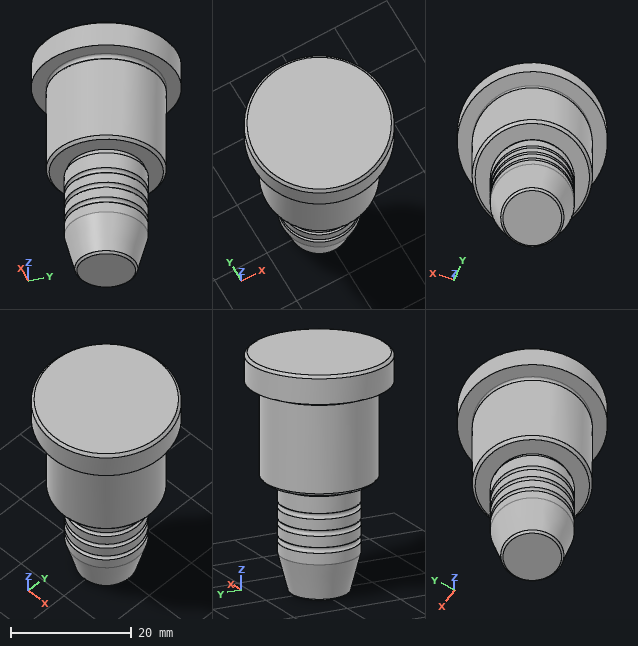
import cadquery as cq

total_height = 42.0
head_thickness = 5.0
body_length = 17.0
neck_length = 1.0
taper_length = 7.0
lowest_land_length = 2.0

head_radius = 25.0 / 2
body_radius = 20.0 / 2
shank_radius = 14.0 / 2
tip_radius = 10.5 / 2
neck_step = 0.4

head_chamfer = 0.5
body_chamfer = 0.5
tip_chamfer = 0.38

groove_width = 1.0
groove_count = 3
groove_pitch = 3.0
groove_radius = groove_width / 2

head_bottom = total_height - head_thickness
body_bottom = head_bottom - body_length
collar_top = body_bottom - neck_length
neck_radius = shank_radius - neck_step
first_groove_bottom = taper_length + lowest_land_length


def rounded_groove(profile, radius, bottom):
    """Draw upward along a cylinder wall and across one half-round groove."""
    top = bottom + groove_width
    floor_point = (radius - groove_radius, bottom + groove_radius)
    return profile.lineTo(radius, bottom).threePointArc(floor_point, (radius, top))


profile = (
    cq.Workplane("XZ")
    .lineTo(tip_radius - tip_chamfer, 0)
    .lineTo(tip_radius, tip_chamfer)
    .lineTo(shank_radius, taper_length)
)

for index in range(groove_count):
    groove_bottom = first_groove_bottom + index * groove_pitch
    profile = rounded_groove(profile, shank_radius, groove_bottom)
profile = (
    profile.lineTo(shank_radius, collar_top)
    .lineTo(neck_radius, collar_top)
    .lineTo(neck_radius, body_bottom)
)

profile = (
    profile.lineTo(body_radius - body_chamfer, body_bottom)
    .lineTo(body_radius, body_bottom + body_chamfer)
)
profile = rounded_groove(profile, body_radius, head_bottom - groove_width)

profile = (
    profile.lineTo(head_radius, head_bottom)
    .lineTo(head_radius, total_height - head_chamfer)
    .lineTo(head_radius - head_chamfer, total_height)
    .lineTo(0, total_height)
    .close()
)

result = profile.revolve(360, (0, 0, 0), (0, 1, 0))